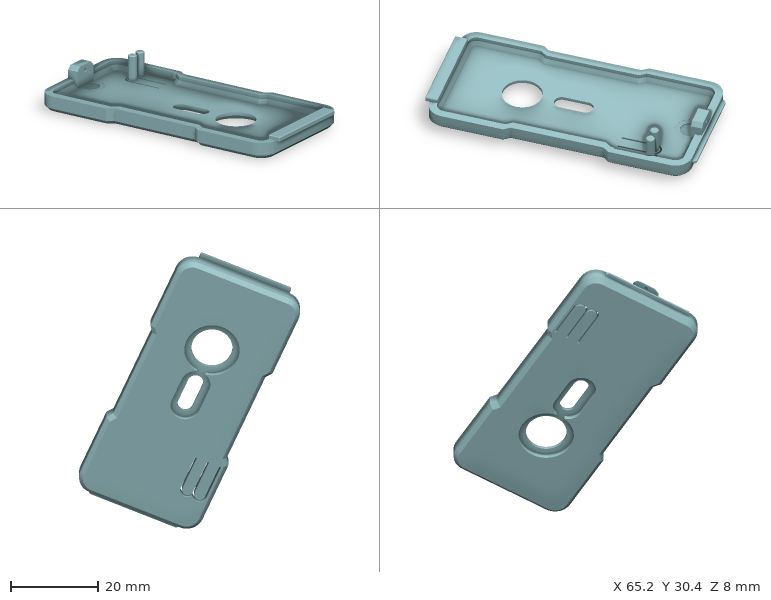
import cadquery as cq
import math

body_length = 63.05
body_width = 30.4
body_height = 4.0
floor_thickness = 2.0
corner_radius = 4.0
rim_width = 1.9
edge_chamfer = 1.0
body_end = body_length / 2
end_flat_length = body_width - 2 * corner_radius

waist_depth = 1.1
waist_half_length = 11.15
waist_ramp_length = 1.5

slot_length = 9.4
slot_width = 3.6
slot_x = 0.5
round_hole_diameter = 9.4
round_hole_x = 12.9
lip_thickness = 0.8
relief_margin = 1.6

pin_diameter = 2.0
pin_top = 8.0
pin_chamfer = 0.2
pin_x = -21.75
pin_pitch = 3.0
upper_pin_y = 12.0
pin_positions = [(pin_x, upper_pin_y), (pin_x, upper_pin_y - pin_pitch)]
slit_width = 0.45
slit_length = 8.15
beam_width = pin_pitch - slit_width
beam_pocket_length = 9.25
beam_pocket_radius = 0.7

lug_width = 6.4
lug_top = 7.05
lug_setback = 0.2
lug_corner_chamfer = 1.0
lug_hole_diameter = 1.0
lug_hole_z = 5.6
edge_rounding = 0.1

recess_x = -27.2
recess_steps = [(6.8, 0.05), (4.35, 0.3)]

tongue_reach = 1.0
tongue_thickness = 0.5
tongue_bottom = 2.35
tongue_corner = 0.5
strip_overhang = 1.1
strip_height = 1.05
strip_chamfer = 0.2


def waisted_outline(wall, draft, height):
    """Closed wire at the given height, drawn in by wall and then by draft.

    The waist ramps keep their place along X for any wall, but follow the mitred offset of a draft.
    """
    inset = wall + draft
    end = body_end - inset
    side = body_width / 2 - inset
    waist_side = side - waist_depth
    radius = corner_radius - inset
    ramp_angle = math.atan2(waist_depth, waist_ramp_length)
    shift = draft * math.tan(ramp_angle / 2)
    ramp_start = waist_half_length + shift
    ramp_end = waist_half_length + waist_ramp_length + shift
    arc_mid = radius * (1 - math.sqrt(0.5))

    outline = cq.Workplane("XY").workplane(offset=height).moveTo(end, radius - side)
    outline = outline.lineTo(end, side - radius)
    outline = outline.threePointArc((end - arc_mid, side - arc_mid), (end - radius, side))
    outline = outline.lineTo(ramp_end, side).lineTo(ramp_start, waist_side)
    outline = outline.lineTo(-ramp_start, waist_side).lineTo(-ramp_end, side)
    outline = outline.lineTo(radius - end, side)
    outline = outline.threePointArc((arc_mid - end, side - arc_mid), (-end, side - radius))
    outline = outline.lineTo(-end, radius - side)
    outline = outline.threePointArc((arc_mid - end, arc_mid - side), (radius - end, -side))
    outline = outline.lineTo(-ramp_end, -side).lineTo(-ramp_start, -waist_side)
    outline = outline.lineTo(ramp_start, -waist_side).lineTo(ramp_end, -side)
    outline = outline.lineTo(end - radius, -side)
    outline = outline.threePointArc((end - arc_mid, arc_mid - side), (end, radius - side))
    return outline.close().val()


def outline_prism(wall, bottom, top):
    height = cq.Vector(0, 0, top - bottom)
    return cq.Workplane(cq.Solid.extrudeLinear(waisted_outline(wall, 0, bottom), [], height))


def outline_taper(wall, bottom, top):
    """Solid that widens by edge_chamfer all round from bottom to top."""
    wires = [waisted_outline(wall, edge_chamfer, bottom), waisted_outline(wall, 0, top)]
    return cq.Workplane(cq.Solid.makeLoft(wires, True))


def chamfered_solid(wall, bottom):
    """Waisted solid up to the rim, with a chamfer around its bottom edge."""
    chamfer_top = bottom + edge_chamfer
    return outline_taper(wall, bottom, chamfer_top).union(outline_prism(wall, chamfer_top, body_height))


def make_tray():
    return chamfered_solid(0, 0).cut(chamfered_solid(rim_width, floor_thickness))


def opening_pair(margin, height):
    """Slot and round hole, each widened by margin all round."""
    slot = cq.Workplane("XY").center(slot_x, 0).slot2D(slot_length + 2 * margin, slot_width + 2 * margin)
    hole = cq.Workplane("XY").center(round_hole_x, 0).circle(round_hole_diameter / 2 + margin)
    return slot.extrude(height).union(hole.extrude(height))


def floor_openings():
    """Through openings, each with a wider relief on the underside that leaves a thin lip."""
    relief = opening_pair(relief_margin, floor_thickness - lip_thickness)
    return opening_pair(0, floor_thickness).union(relief)


def beam_slit(x, y):
    """U-shaped slit around one pin, open towards +X, through the full body height."""
    def straight_band(width):
        band = cq.Workplane("XY").center(slit_length / 2, 0).rect(slit_length, width)
        return band.extrude(body_height)

    def disc(diameter):
        return cq.Workplane("XY").circle(diameter / 2).extrude(body_height)

    outer_width = pin_pitch + slit_width
    slit = disc(outer_width).union(straight_band(outer_width))
    slit = slit.cut(disc(beam_width)).cut(straight_band(beam_width))
    slit_ends = [(slit_length, pin_pitch / 2), (slit_length, -pin_pitch / 2)]
    slit = slit.union(cq.Workplane("XY").pushPoints(slit_ends).circle(slit_width / 2).extrude(body_height))
    return slit.translate((x, y, 0))


def beam_pocket(x, y):
    """Clearance above a beam, down to the floor, where it runs into the cavity wall."""
    pocket = cq.Workplane("XY").workplane(offset=floor_thickness)
    pocket = pocket.center(x + beam_pocket_length / 2, y).rect(beam_pocket_length, beam_width)
    pocket = pocket.extrude(body_height - floor_thickness).edges("|Z and >X").fillet(beam_pocket_radius)
    pin_end = cq.Workplane("XY").workplane(offset=floor_thickness).center(x, y)
    return pocket.union(pin_end.circle(pin_pitch / 2).extrude(body_height - floor_thickness))


def make_pins():
    pins = cq.Workplane("XY").workplane(offset=floor_thickness).pushPoints(pin_positions)
    pins = pins.circle(pin_diameter / 2).extrude(pin_top - floor_thickness)
    return pins.faces(">Z").chamfer(pin_chamfer)


def make_lug():
    front = -body_end + lug_setback
    rim_edge = -body_end + rim_width
    back = rim_edge + edge_chamfer

    head = cq.Workplane("XY").box(
        back - front, lug_width, lug_top - body_height, centered=(False, True, False)
    )
    head = head.translate((front, 0, body_height)).edges("|X and >Z").chamfer(lug_corner_chamfer)
    head = head.faces("<X").edges("not <Z").fillet(edge_rounding)
    hole = cq.Workplane("YZ").workplane(offset=front).center(0, lug_hole_z).circle(lug_hole_diameter / 2)
    foot_height = body_height - floor_thickness
    foot = cq.Workplane("XY").box(edge_chamfer, lug_width, foot_height, centered=(False, True, False))
    foot = foot.translate((rim_edge, 0, floor_thickness))
    return head.cut(hole.extrude(back - front)).union(foot)


def make_recess():
    recess = cq.Workplane("XY")
    for diameter, depth in recess_steps:
        step = cq.Workplane("XY").workplane(offset=floor_thickness - depth).center(recess_x, 0)
        recess = recess.union(step.circle(diameter / 2).extrude(depth))
    return recess


def make_tongue():
    length = tongue_reach + rim_width
    tongue = cq.Workplane("XY").box(length, end_flat_length, tongue_thickness, centered=(False, True, False))
    tongue = tongue.edges("|Z and <X").chamfer(tongue_corner)
    return tongue.translate((-body_end - tongue_reach, 0, tongue_bottom))


def make_strip():
    length = rim_width + strip_overhang
    strip = cq.Workplane("XY").box(length, end_flat_length, strip_height, centered=(False, True, False))
    strip = strip.edges("(>X and (not <Z)) or (>Z and |X)").chamfer(strip_chamfer)
    return strip.translate((body_end - rim_width, 0, body_height))


result = make_tray().cut(floor_openings()).cut(make_recess())
result = result.cut(beam_pocket(*pin_positions[0]))
for pin_position in pin_positions:
    result = result.cut(beam_slit(*pin_position))
for added_part in (make_pins(), make_lug(), make_tongue(), make_strip()):
    result = result.union(added_part)